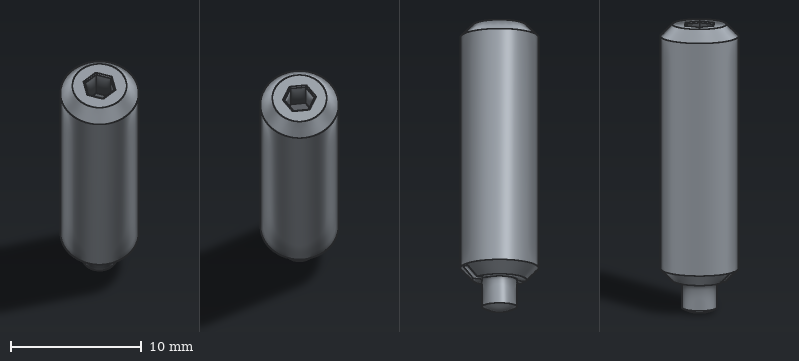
import cadquery as cq
import math

total_length = 22.5
body_diameter = 6.0
end_chamfer = 0.92

pin_diameter = 2.7
pin_length = 2.5
dome_height = 0.38

slot_width = 0.7
slot_depth = end_chamfer

socket_flats = 2.0
socket_depth = 2.5
socket_chamfer = 0.11

body_radius = body_diameter / 2
pin_radius = pin_diameter / 2


def make_body():
    """Cylinder with both ends chamfered at 45 degrees."""
    body_length = total_length - pin_length
    body = cq.Workplane("XY").workplane(offset=pin_length).circle(body_radius).extrude(body_length)
    return body.faces("<Z or >Z").chamfer(end_chamfer)


def make_slot():
    """Full-width slot along Y, open at the lower face of the body."""
    return (
        cq.Workplane("XY")
        .workplane(offset=pin_length)
        .rect(slot_width, body_diameter)
        .extrude(slot_depth)
    )


def make_pin():
    """Pin with a spherical tip, reaching up through the slot into the body."""
    sphere_radius = (pin_radius**2 + dome_height**2) / (2 * dome_height)
    half_angle = math.asin(pin_radius / sphere_radius) / 2
    arc_middle = (
        sphere_radius * math.sin(half_angle),
        sphere_radius * (1 - math.cos(half_angle)),
    )
    pin_top = pin_length + slot_depth
    return (
        cq.Workplane("XZ")
        .moveTo(0, 0)
        .threePointArc(arc_middle, (pin_radius, dome_height))
        .lineTo(pin_radius, pin_top)
        .lineTo(0, pin_top)
        .close()
        .revolve(360, (0, 0, 0), (0, 1, 0))
    )


def hexagon_at_top(flats):
    """Hexagon on the upper face, with corners pointing along Y."""
    corner_diameter = flats / math.cos(math.pi / 6)
    return (
        cq.Workplane("XY")
        .workplane(offset=total_length)
        .transformed(rotate=(0, 0, 90))
        .polygon(6, corner_diameter)
    )


def make_socket():
    """Hexagon socket with a 45 degree lead-in at its mouth."""
    recess = hexagon_at_top(socket_flats).extrude(-socket_depth)
    mouth_flats = socket_flats + 2 * socket_chamfer
    lead_in = hexagon_at_top(mouth_flats).extrude(-mouth_flats / 2, taper=45)
    return recess.union(lead_in)


result = make_body().cut(make_slot()).union(make_pin()).cut(make_socket())